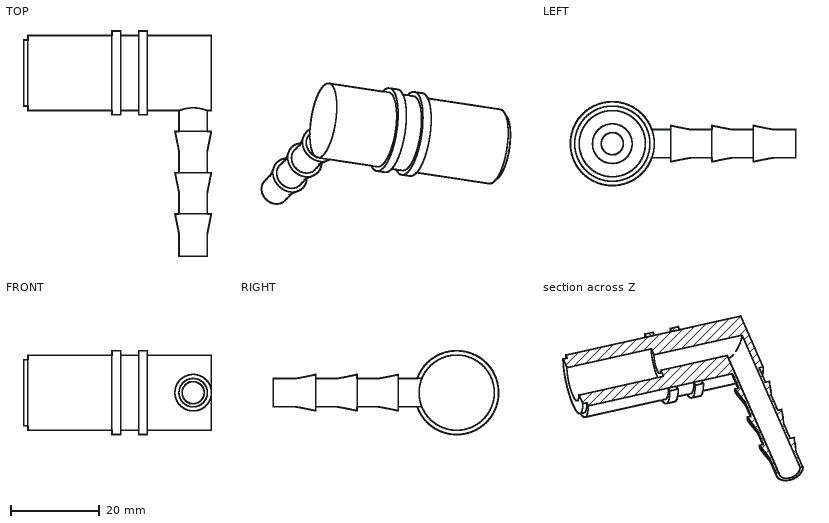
import cadquery as cq


barrel_radius = 8.5
barrel_length = 42.5
nose_radius = 7.5
nose_length = 0.95

stem_radius = 3.2
barb_radius = 4.15
barb_count = 3
barb_length = 4.6
barb_pitch = 9.35
tip_length = 5.05

socket_radius = 4.5
passage_radius = 2.5

ring_diameter = 19.0
ring_radius = ring_diameter / 2
ring_width = 2.0
first_ring_offset = 20.0
ring_pitch = 6.0
ring_count = 2

overall_depth = 51.0
barrel_end_x = barb_radius
nose_face_x = barrel_end_x - barrel_length
socket_depth = first_ring_offset
stem_length = overall_depth - ring_radius


def cylinder_along_x(start_x, length, radius):
    return cq.Workplane("YZ").workplane(offset=start_x).circle(radius).extrude(length)


def cylinder_towards_minus_y(start_y, length, radius):
    return cq.Workplane("XZ").workplane(offset=-start_y).circle(radius).extrude(length)


def make_barrel():
    nose = cylinder_along_x(nose_face_x, nose_length, nose_radius)
    main = cylinder_along_x(nose_face_x + nose_length, barrel_length - nose_length, barrel_radius)
    return nose.union(main)


def make_hose_barb():
    """Stem whose barbs widen away from the tip and end in a sharp shoulder."""
    profile = cq.Workplane("XY").lineTo(stem_radius, 0)
    for index in reversed(range(barb_count)):
        narrow_y = -stem_length + tip_length + index * barb_pitch
        shoulder_y = narrow_y + barb_length
        profile = profile.lineTo(stem_radius, shoulder_y)
        profile = profile.lineTo(barb_radius, shoulder_y)
        profile = profile.lineTo(stem_radius, narrow_y)
    profile = profile.lineTo(stem_radius, -stem_length).lineTo(0, -stem_length).close()
    return profile.revolve(360, (0, 0, 0), (0, 1, 0))


def make_passages():
    """Socket in the nose, then a narrower bore that turns a mitred corner into the stem."""
    socket = cylinder_along_x(nose_face_x, socket_depth, socket_radius)
    barrel_bore = cylinder_along_x(nose_face_x, -nose_face_x, passage_radius)
    stem_bore = cylinder_towards_minus_y(0, stem_length, passage_radius)
    corner_width = 2 * passage_radius
    corner = cylinder_along_x(-passage_radius, corner_width, passage_radius).intersect(
        cylinder_towards_minus_y(passage_radius, corner_width, passage_radius)
    )
    return socket.union(barrel_bore).union(stem_bore).union(corner)


def make_ring(index):
    """Plain ring seated on the barrel surface."""
    start_x = nose_face_x + first_ring_offset + index * ring_pitch
    outside = cylinder_along_x(start_x, ring_width, ring_radius)
    return outside.cut(cylinder_along_x(start_x, ring_width, barrel_radius))


elbow = make_barrel().union(make_hose_barb()).cut(make_passages())
rings = [make_ring(index) for index in range(ring_count)]

result = cq.Compound.makeCompound([elbow.val(), *[ring.val() for ring in rings]])